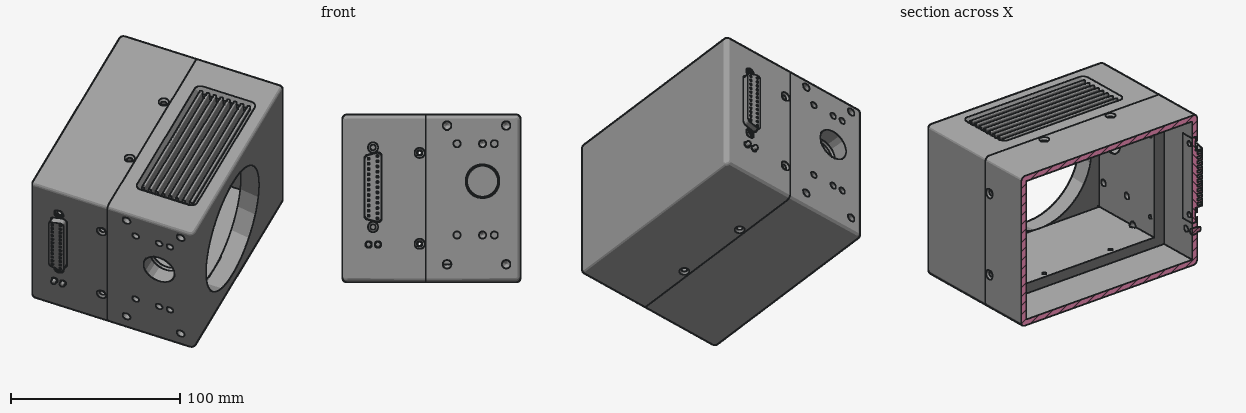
import cadquery as cq
import math


width = 105.4
height = 99.3
overall_depth = 136.9
connector_protrusion = 3.7
depth = overall_depth - connector_protrusion
edge_radius = 3.0
split_x = -3.3
mid_y = depth / 2

cover_wall = 4.1
spigot_length = 7.5

front_wall = 11.6
cavity_right_x = 41.0
cavity_floor_z = -38.9
cavity_top_z = 40.2

bore_x = 30.1
bore_z = 10.1
bore_diameter = 20.0
bore_lip_diameter = 18.2
bore_lip_length = 1.6

corner_hole_diameter = 5.0
corner_hole_depth = 12.3
corner_hole_xs = (9.2, 44.1)
corner_hole_zs = (-38.9, 43.0)

mount_hole_diameter = 4.2
mount_hole_depth = 8.2
mount_hole_zs = (-21.6, 32.3)
through_hole_xs = (15.0, 37.1)

fan_opening_diameter = 78.0
fan_opening_y = 56.7

fin_count = 8
fin_width = 1.9
channel_width = 2.5
fin_pitch = fin_width + channel_width
heatsink_width = fin_count * fin_width + (fin_count - 1) * channel_width
heatsink_length = 85.8
heatsink_x = 24.8
fin_top_drop = 0.7
heatsink_base = 3.0
window_corner_radius = 0.7
window_bevel = 3.0

screw_x = -7.0
screw_head_diameter = 6.0
screw_clearance_diameter = 3.3
screw_thread_diameter = 2.5
front_screw_offset = 26.8
top_screw_offset = 25.0

connector_x = -34.5
connector_z = 6.6
shell_width = 9.7
shell_height = 41.9
shell_slant = 15.0
shell_radius = 2.2
shell_clearance = 0.4
flange_thickness = 2.7
flange_width = 12.3
flange_height = 56.1
jack_spacing = 47.0
jack_access_diameter = 6.0
jack_hole_diameter = 3.3
socket_diameter = 1.3
socket_depth = 3.4
socket_row_offset = 2.6
long_row_count = 13
long_row_length = 36.8
socket_pitch = long_row_length / (long_row_count - 1)

lamp_xs = (-37.1, -31.6)
lamp_z = -27.2
lamp_base_diameter = 4.0
lamp_lens_diameter = 3.1
lamp_protrusion = 2.6
lamp_tip_round = 1.0

BEVEL_ANGLE = 45.0
DRILL_POINT_ANGLE = 118.0


def block(x0, x1, y0, y1, z0, z1):
    """Box between two opposite corners."""
    return cq.Workplane("XY").box(x1 - x0, y1 - y0, z1 - z0, centered=False).translate((x0, y0, z0))


def rod_y(x, z, diameter, y0, y1):
    """Cylinder along Y from y0 to y1."""
    return cq.Workplane("XZ", origin=(x, y0, z)).circle(diameter / 2).extrude(y0 - y1)


def drill_y(x, z, diameter, length):
    """Blind drilling into the front face, with a conical end."""
    radius = diameter / 2
    point = radius / math.tan(math.radians(DRILL_POINT_ANGLE / 2))
    cone = cq.Solid.makeCone(radius, 0, point, pnt=cq.Vector(x, length, z), dir=cq.Vector(0, 1, 0))
    return rod_y(x, z, diameter, 0, length).union(cq.Workplane(cone))


def enclosure():
    """Rounded block that the split plane divides into cover and housing."""
    outer = block(-width / 2, width / 2, 0, depth, -height / 2, height / 2)
    return outer.edges().fillet(edge_radius)


def screw_axes():
    """Outer entry point and inward direction of each screw."""
    axes = []
    for side in (-1, 1):
        z = side * front_screw_offset
        axes.append((cq.Vector(screw_x, 0, z), cq.Vector(0, 1, 0)))
        axes.append((cq.Vector(screw_x, depth, z), cq.Vector(0, -1, 0)))
        y = mid_y + side * top_screw_offset
        axes.append((cq.Vector(screw_x, y, height / 2), cq.Vector(0, 0, -1)))
        axes.append((cq.Vector(screw_x, y, -height / 2), cq.Vector(0, 0, 1)))
    return axes


def d_prism(clearance):
    """Rounded D-shaped prism, long side towards +X, from the shell's front end to the flange."""
    slant = math.radians(shell_slant)
    half_width = shell_width / 2 + clearance
    half_middle = (shell_height - shell_width * math.tan(slant)) / 2 + clearance / math.cos(slant)
    half_long = half_middle + half_width * math.tan(slant)
    half_short = half_middle - half_width * math.tan(slant)
    corners = [
        (half_width, -half_long),
        (half_width, half_long),
        (-half_width, half_short),
        (-half_width, -half_short),
    ]
    outline = cq.Workplane("XZ", origin=(connector_x, -connector_protrusion, connector_z))
    flange_y = cover_wall - flange_thickness
    prism = outline.polyline(corners).close().extrude(-connector_protrusion - flange_y)
    return prism.edges("|Y").fillet(shell_radius + clearance)


def connector_flange():
    """Rectangular flange lying in a pocket behind the front wall."""
    return block(
        connector_x - flange_width / 2, connector_x + flange_width / 2,
        cover_wall - flange_thickness, cover_wall,
        connector_z - flange_height / 2, connector_z + flange_height / 2,
    )


def jack_zs():
    """Heights of the two jack-screw holes."""
    return (connector_z - jack_spacing / 2, connector_z + jack_spacing / 2)


def build_cover():
    """Hollow left part, open towards the housing."""
    cover = enclosure().intersect(block(-width / 2, split_x, 0, depth, -height / 2, height / 2))
    inside = height / 2 - cover_wall
    cover = cover.cut(
        block(cover_wall - width / 2, split_x, cover_wall, depth - cover_wall, -inside, inside)
    )

    sink_depth = (screw_head_diameter - screw_clearance_diameter) / 2
    for entry, inward in screw_axes():
        cover = cover.cut(cq.Workplane(cq.Solid.makeCylinder(
            screw_clearance_diameter / 2, cover_wall, entry, inward)))
        cover = cover.cut(cq.Workplane(cq.Solid.makeCone(
            screw_head_diameter / 2, screw_clearance_diameter / 2, sink_depth, entry, inward)))

    cover = cover.cut(d_prism(shell_clearance)).cut(connector_flange())
    for z in jack_zs():
        cover = cover.cut(rod_y(connector_x, z, jack_access_diameter, 0, cover_wall - flange_thickness))
    for x in lamp_xs:
        cover = cover.cut(rod_y(x, lamp_z, lamp_base_diameter, 0, cover_wall))
    return cover


def heatsink_window():
    """Straight opening that the heat sink fills, with a bevel around it at the top face."""
    bevel_bottom = height / 2 - window_bevel
    straight = (
        cq.Workplane("XY", origin=(heatsink_x, mid_y, cavity_top_z))
        .rect(heatsink_width, heatsink_length)
        .extrude(height / 2 - cavity_top_z)
    )
    bevel = (
        cq.Workplane("XY", origin=(heatsink_x, mid_y, bevel_bottom))
        .sketch()
        .rect(heatsink_width, heatsink_length)
        .vertices()
        .fillet(window_corner_radius)
        .finalize()
        .extrude(window_bevel, taper=-BEVEL_ANGLE)
    )
    return straight.union(bevel)


def front_bore():
    """Round opening through the front wall, narrowing at its inner end."""
    lip_y = front_wall - bore_lip_length
    lip = cq.Solid.makeCone(
        bore_diameter / 2, bore_lip_diameter / 2, bore_lip_length,
        cq.Vector(bore_x, lip_y, bore_z), cq.Vector(0, 1, 0),
    )
    return rod_y(bore_x, bore_z, bore_diameter, 0, lip_y).union(cq.Workplane(lip))


def build_housing():
    """Thick-walled right part, with a spigot that fits inside the cover."""
    housing = enclosure().intersect(block(split_x, width / 2, 0, depth, -height / 2, height / 2))
    inside = height / 2 - cover_wall
    spigot_x = split_x - spigot_length
    housing = housing.union(
        block(spigot_x, split_x, cover_wall, depth - cover_wall, -inside, inside)
    )
    housing = housing.cut(
        block(spigot_x, cavity_right_x, front_wall, depth - front_wall, cavity_floor_z, cavity_top_z)
    )

    housing = housing.cut(heatsink_window()).cut(front_bore())
    for x in corner_hole_xs:
        for z in corner_hole_zs:
            housing = housing.cut(drill_y(x, z, corner_hole_diameter, corner_hole_depth))
    for z in mount_hole_zs:
        housing = housing.cut(drill_y(bore_x, z, mount_hole_diameter, mount_hole_depth))
        for x in through_hole_xs:
            housing = housing.cut(rod_y(x, z, mount_hole_diameter, 0, front_wall))

    fan_opening = (
        cq.Workplane("YZ", origin=(cavity_right_x, fan_opening_y, 0))
        .circle(fan_opening_diameter / 2)
        .extrude(width / 2 - cavity_right_x)
    )
    housing = housing.cut(fan_opening)

    for entry, inward in screw_axes():
        housing = housing.cut(cq.Workplane(cq.Solid.makeCylinder(
            screw_thread_diameter / 2, front_wall, entry, inward)))
    return housing


def build_heatsink():
    """Finned block: round fin tops and round channel bottoms."""
    fin_radius = fin_width / 2
    channel_radius = channel_width / 2
    shoulder_z = height / 2 - fin_top_drop - fin_radius
    root_z = cavity_top_z + heatsink_base + channel_radius
    left = heatsink_x - heatsink_width / 2

    profile = cq.Workplane("XZ", origin=(0, mid_y - heatsink_length / 2, 0))
    profile = profile.moveTo(left, cavity_top_z).lineTo(left, shoulder_z)
    for index in range(fin_count):
        fin_left = left + index * fin_pitch
        fin_right = fin_left + fin_width
        profile = profile.threePointArc(
            (fin_left + fin_radius, shoulder_z + fin_radius), (fin_right, shoulder_z))
        if index < fin_count - 1:
            profile = profile.lineTo(fin_right, root_z)
            profile = profile.threePointArc(
                (fin_right + channel_radius, root_z - channel_radius), (fin_right + channel_width, root_z))
            profile = profile.lineTo(fin_right + channel_width, shoulder_z)
    profile = profile.lineTo(left + heatsink_width, cavity_top_z).close()
    return profile.extrude(-heatsink_length)


def build_connector():
    """D-shaped shell and flange in one piece, with two rows of blind sockets."""
    connector = d_prism(0).union(connector_flange())
    for z in jack_zs():
        connector = connector.cut(
            rod_y(connector_x, z, jack_hole_diameter, cover_wall - flange_thickness, cover_wall)
        )
    for side, count in ((1, long_row_count), (-1, long_row_count - 1)):
        for index in range(count):
            z = connector_z + (index - (count - 1) / 2) * socket_pitch
            x = connector_x + side * socket_row_offset
            connector = connector.cut(
                rod_y(x, z, socket_diameter, -connector_protrusion, socket_depth - connector_protrusion)
            )
    return connector


def build_lamp(x):
    """Base flush with the front face and a slimmer lens with a rounded tip."""
    lens = rod_y(x, lamp_z, lamp_lens_diameter, -lamp_protrusion, 0)
    lens = lens.faces("<Y").edges().fillet(lamp_tip_round)
    return rod_y(x, lamp_z, lamp_base_diameter, 0, cover_wall).union(lens)


cover = build_cover()
housing = build_housing()
heatsink = build_heatsink()
connector = build_connector()
lamps = [build_lamp(x) for x in lamp_xs]

result = cq.Compound.makeCompound([
    cover.val(),
    housing.val(),
    heatsink.val(),
    connector.val(),
    *[lamp.val() for lamp in lamps],
])